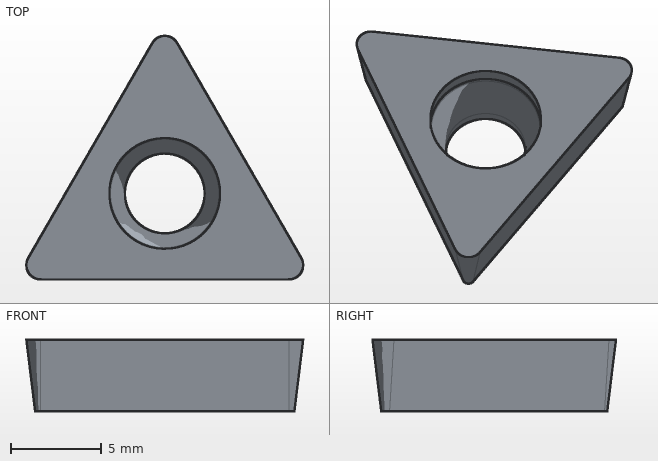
import cadquery as cq
import math

overall_width = 15.34
thickness = 3.97
corner_radius = 0.8
clearance_angle = 7.0

mouth_diameter = 6.14
bore_diameter = 4.4
mouth_depth = 0.92
band_height = 0.14
seat_diameter = 6.01
seat_angle = 39.0


def tapered_body():
    """Rounded triangle centred on the hole axis, largest at the top face."""
    corner_spacing = overall_width - 2 * corner_radius
    corner_distance = corner_spacing / math.sqrt(3)
    bottom_radius = corner_radius - thickness * math.tan(math.radians(clearance_angle))

    def outline(height, radius):
        def corner_point(corner_angle, normal_angle):
            corner = math.radians(corner_angle)
            normal = math.radians(normal_angle)
            return (
                corner_distance * math.cos(corner) + radius * math.cos(normal),
                corner_distance * math.sin(corner) + radius * math.sin(normal),
            )

        corner_angles = (90, 210, 330)
        sketch = cq.Workplane("XY", origin=(0, 0, height)).moveTo(*corner_point(90, 30))
        for angle in corner_angles:
            sketch = sketch.threePointArc(corner_point(angle, angle), corner_point(angle, angle + 60))
            sketch = sketch.lineTo(*corner_point(angle + 120, angle + 60))
        return sketch.close().val()

    bottom = outline(0, bottom_radius)
    top = outline(thickness, corner_radius)
    return cq.Workplane(cq.Solid.makeLoft([bottom, top], True))


def screw_hole():
    """Revolved cutter whose curved seat runs tangentially into the bore."""
    mouth_radius = mouth_diameter / 2
    seat_radius = seat_diameter / 2
    bore_radius = bore_diameter / 2
    slope = math.radians(seat_angle)

    mouth_floor = thickness - mouth_depth
    seat_top = mouth_floor - band_height
    arc_radius = (seat_radius - bore_radius) / (1 - math.cos(slope))
    seat_bottom = seat_top - arc_radius * math.sin(slope)
    arc_middle = (
        bore_radius + arc_radius * (1 - math.cos(slope / 2)),
        seat_bottom + arc_radius * math.sin(slope / 2),
    )
    return (
        cq.Workplane("XZ")
        .moveTo(0, 0)
        .lineTo(bore_radius, 0)
        .lineTo(bore_radius, seat_bottom)
        .threePointArc(arc_middle, (seat_radius, seat_top))
        .lineTo(mouth_radius, mouth_floor)
        .lineTo(mouth_radius, thickness)
        .lineTo(0, thickness)
        .close()
        .revolve(360, (0, 0, 0), (0, 1, 0))
    )


result = tapered_body().cut(screw_hole())